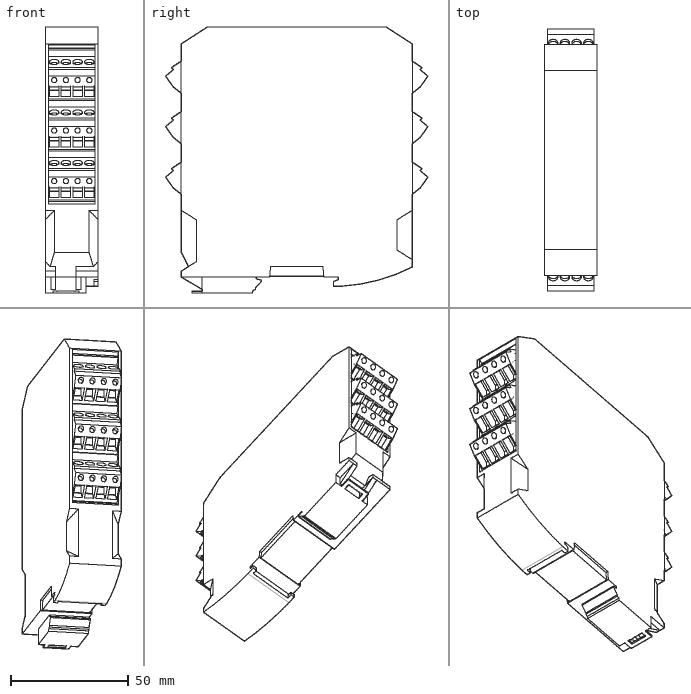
import cadquery as cq
WIDTH = 22.6
HALF_WIDTH = WIDTH / 2
HEIGHT = 113.7
HALF_LENGTH = 49.35
ROOF_HALF_LENGTH = 38.2
SHOULDER_Z = 106.5
BASE_Z = 6.8

BELLY_TOP_Z = 11.1
BELLY_BOTTOM_Z = 2.9
BELLY_INNER_Y = 19.15
BELLY_MID_Y, BELLY_MID_Z = 38.5, 6.6
HOOK_TIP_Y = 15.6
HOOK_TIP_TOP_Z = 5.0
HOOK_ROOT_Y = 17.7
HOOK_ROOT_Z = 5.8
HOOK_THICKNESS = 1.8

RECESS_HALF_BOTTOM = 11.6
RECESS_HALF_TOP = 11.15
RECESS_TOP_Z = 11.35
RECESS_DEPTH = 1.0
WEB_BOTTOM_Z = 7.2

FOOT_X_MAX = 6.1
FOOT_OUTER_Y = -40.4
FOOT_PROFILE = [
    (-17.2, BASE_Z),
    (-17.2, 6.1),
    (-15.05, 5.6),
    (-15.05, 5.0),
    (-17.6, 2.3),
    (-17.6, 1.5),
    (-18.7, 1.1),
    (-18.9, 0),
    (FOOT_OUTER_Y, 0),
    (FOOT_OUTER_Y, BASE_Z),
]
LATCH_X_MIN, LATCH_X_MAX = -8.1, 3.2
LATCH_END_Y = -44.8
LATCH_THICKNESS = 0.9
LATCH_RIM = 1.9
RIB_X_RANGES = [(-8.9, -6.95), (1.75, 4.0)]
RIB_BOTTOM_Z = 1.55

RELIEF_FLOOR_HALF_WIDTH = 7.4
RELIEF_DEPTH = 6.5
RELIEF_TOP_Z = 35.4
RELIEF_SLOPE = 0.63
RELIEF_BOTTOM_Z = 14.3
TAB_TOP_Z = 9.4
UNDERCUT_TOP_Z = 17.4
UNDERCUT_SLOPE = 2.0
SLOT_X_MIN, SLOT_X_MAX = -6.95, 1.9

WINDOW_WIDTH = 20.0
WINDOW_FLOOR_Y = 45.4
WINDOW_BOTTOM_Z = 38.1
WINDOW_SILL_Z = 39.2
WINDOW_SILL_Y = 47.3
WINDOW_LINTEL_Z = 104.7
WINDOW_LINTEL_Y = 47.8
WINDOW_TOP_Z = 106.0
PLUG_COUNT = 3
PLUG_PITCH = 21.57
PLUG_TIP_Y = 112.04 / 2
PLUG_TIP_Z = 92.7
PLUG_BACK_Y = 46.4
PLUG_TOP_Z = 101.1
BROW_Y, BROW_Z = 53.6, 96.3
NOTCH_Y, NOTCH_Z = 52.75, 95.45
CHIN_Y, CHIN_Z = 52.9, 88.2
PLUG_BOTTOM_Z = 82.95
BAR_TIP_Y, BAR_TIP_Z = 48.3, 103.8
BAR_TOP_Z = 104.55

POLE_COUNT = 4
POLE_PITCH = 5.0
SCREW_HOLE_DIAMETER = 4.0
SCREW_HOLE_DEPTH = 1.6
SCREW_HOLE_Z = 98.75
TEST_HOLE_DIAMETER = 2.23
TEST_HOLE_Z = 91.0
TEST_HOLE_FLOOR_Y = 52.5
WIRE_HOLE_WIDTH = 4.0
WIRE_HOLE_LENGTH = 6.4
WIRE_HOLE_DEPTH = 3.5
WIRE_CHAMBER_DEPTH = 6.0
WIRE_CHAMBER_STEP = 0.4
WIRE_HOLE_Z = 86.1


def prism(points, x_min, x_max):
    """Extrude a closed (y, z) outline from x_min to x_max."""
    return cq.Workplane("YZ", origin=(x_min, 0, 0)).polyline(points).close().extrude(x_max - x_min)


def full_prism(points):
    return prism(points, -HALF_WIDTH, HALF_WIDTH)


def box(x_range, y_range, z_range):
    size = [high - low for low, high in (x_range, y_range, z_range)]
    corner = (x_range[0], y_range[0], z_range[0])
    return cq.Workplane("XY").box(*size, centered=False).translate(corner)


def make_housing():
    outline = (
        cq.Workplane("YZ", origin=(-HALF_WIDTH, 0, 0))
        .moveTo(-ROOF_HALF_LENGTH, HEIGHT)
        .lineTo(ROOF_HALF_LENGTH, HEIGHT)
        .lineTo(HALF_LENGTH, SHOULDER_Z)
        .lineTo(HALF_LENGTH, BELLY_TOP_Z)
        .threePointArc((BELLY_MID_Y, BELLY_MID_Z), (BELLY_INNER_Y, BELLY_BOTTOM_Z))
        .lineTo(HOOK_ROOT_Y, BELLY_BOTTOM_Z)
        .lineTo(HOOK_ROOT_Y, BASE_Z)
        .lineTo(-HALF_LENGTH, BASE_Z)
        .lineTo(-HALF_LENGTH, SHOULDER_Z)
        .close()
    )
    return outline.extrude(WIDTH)


def add_rail_hooks(body):
    """Thin hook lips on the two side faces of the fixed end."""
    lip = [
        (HOOK_ROOT_Y, BELLY_BOTTOM_Z),
        (HOOK_TIP_Y, BELLY_BOTTOM_Z),
        (HOOK_TIP_Y, HOOK_TIP_TOP_Z),
        (HOOK_ROOT_Y, HOOK_ROOT_Z),
    ]
    body = body.union(prism(lip, -HALF_WIDTH, -HALF_WIDTH + HOOK_THICKNESS))
    return body.union(prism(lip, HALF_WIDTH - HOOK_THICKNESS, HALF_WIDTH))


def cut_rail_recess(body):
    side = [
        (-RECESS_HALF_BOTTOM, BASE_Z),
        (-RECESS_HALF_TOP, RECESS_TOP_Z),
        (RECESS_HALF_TOP, RECESS_TOP_Z),
        (RECESS_HALF_BOTTOM, BASE_Z),
    ]
    body = body.cut(prism(side, -HALF_WIDTH, -HALF_WIDTH + RECESS_DEPTH))
    body = body.cut(prism(side, HALF_WIDTH - RECESS_DEPTH, HALF_WIDTH))
    web_y = (-RECESS_HALF_BOTTOM, RECESS_HALF_BOTTOM)
    return body.cut(box((-HALF_WIDTH, HALF_WIDTH), web_y, (BASE_Z, WEB_BOTTOM_Z)))


def corner_relief(bottom_z):
    """Angled cuts at both vertical corners of the +Y end, with sloped top and bottom."""
    inner_y = HALF_LENGTH - RELIEF_DEPTH
    rise = RELIEF_DEPTH * RELIEF_SLOPE
    side = [
        (HALF_LENGTH, RELIEF_TOP_Z),
        (inner_y, RELIEF_TOP_Z - rise),
        (inner_y, bottom_z + rise),
        (HALF_LENGTH, bottom_z),
    ]
    wedge = [(RELIEF_FLOOR_HALF_WIDTH, HALF_LENGTH), (HALF_WIDTH, HALF_LENGTH), (HALF_WIDTH, inner_y)]
    corner = cq.Workplane("XY").polyline(wedge).close().extrude(HEIGHT)
    corners = corner.union(corner.mirror("YZ"))
    return corners.intersect(full_prism(side))


def undercut_y(z):
    """Position of the sloped undercut face of the -Y end at height z."""
    return -HALF_LENGTH + (UNDERCUT_TOP_Z - z) / UNDERCUT_SLOPE


def cut_undercut_and_slot(body):
    """Sloped undercut that leaves two tabs, and the slot between the tabs."""
    meet_offset = (UNDERCUT_TOP_Z - TAB_TOP_Z) / (UNDERCUT_SLOPE + RELIEF_SLOPE)
    above_tabs = [
        (-HALF_LENGTH, UNDERCUT_TOP_Z),
        (-HALF_LENGTH + meet_offset, TAB_TOP_Z + meet_offset * RELIEF_SLOPE),
        (-HALF_LENGTH, TAB_TOP_Z),
    ]
    slot = [
        (-HALF_LENGTH, UNDERCUT_TOP_Z),
        (undercut_y(BASE_Z), BASE_Z),
        (-HALF_LENGTH, BASE_Z),
    ]
    return body.cut(full_prism(above_tabs)).cut(prism(slot, SLOT_X_MIN, SLOT_X_MAX))


def add_foot(body):
    body = body.union(prism(FOOT_PROFILE, -HALF_WIDTH, FOOT_X_MAX))
    rib = [(FOOT_OUTER_Y, BASE_Z), (-HALF_LENGTH, BASE_Z), (FOOT_OUTER_Y, RIB_BOTTOM_Z)]
    for x_min, x_max in RIB_X_RANGES:
        body = body.union(prism(rib, x_min, x_max))
    thickness = (0, LATCH_THICKNESS)
    latch = box((LATCH_X_MIN, LATCH_X_MAX), (LATCH_END_Y, FOOT_OUTER_Y), thickness)
    opening_x = (LATCH_X_MIN + LATCH_RIM, LATCH_X_MAX - LATCH_RIM)
    opening = box(opening_x, (LATCH_END_Y + LATCH_RIM, FOOT_OUTER_Y), thickness)
    return body.union(latch.cut(opening))


def make_window():
    outline = [
        (HALF_LENGTH, WINDOW_BOTTOM_Z),
        (WINDOW_SILL_Y, WINDOW_SILL_Z),
        (WINDOW_FLOOR_Y, WINDOW_SILL_Z),
        (WINDOW_FLOOR_Y, WINDOW_LINTEL_Z),
        (WINDOW_LINTEL_Y, WINDOW_LINTEL_Z),
        (HALF_LENGTH, WINDOW_TOP_Z),
    ]
    return prism(outline, -WINDOW_WIDTH / 2, WINDOW_WIDTH / 2)


def tilted_plane(y, z, normal_y, normal_z):
    return cq.Plane(origin=(0, y, z), xDir=(1, 0, 0), normal=(0, normal_y, normal_z))


def make_plug():
    """Topmost plug of the +Y end, with the socket bar above it."""
    outline = [
        (WINDOW_FLOOR_Y, PLUG_BOTTOM_Z),
        (PLUG_BACK_Y, PLUG_BOTTOM_Z),
        (CHIN_Y, CHIN_Z),
        (PLUG_TIP_Y, PLUG_TIP_Z),
        (NOTCH_Y, NOTCH_Z),
        (BROW_Y, BROW_Z),
        (PLUG_BACK_Y, PLUG_TOP_Z),
        (BAR_TIP_Y, BAR_TIP_Z),
        (PLUG_BACK_Y, BAR_TOP_Z),
        (WINDOW_FLOOR_Y, BAR_TOP_Z),
    ]
    plug = prism(outline, -WINDOW_WIDTH / 2, WINDOW_WIDTH / 2)

    poles = [((i - (POLE_COUNT - 1) / 2) * POLE_PITCH, 0) for i in range(POLE_COUNT)]

    top_run = BROW_Y - PLUG_BACK_Y
    top_drop = PLUG_TOP_Z - BROW_Z
    screw_y = BROW_Y - (SCREW_HOLE_Z - BROW_Z) * top_run / top_drop
    screw_plane = tilted_plane(screw_y, SCREW_HOLE_Z, top_drop, top_run)
    screws = cq.Workplane(screw_plane).pushPoints(poles).circle(SCREW_HOLE_DIAMETER / 2)

    low_run = CHIN_Y - PLUG_BACK_Y
    low_rise = CHIN_Z - PLUG_BOTTOM_Z
    wire_y = CHIN_Y - (CHIN_Z - WIRE_HOLE_Z) * low_run / low_rise
    wire_plane = tilted_plane(wire_y, WIRE_HOLE_Z, low_rise, -low_run)
    wires = cq.Workplane(wire_plane).pushPoints(poles).rect(WIRE_HOLE_WIDTH, WIRE_HOLE_LENGTH)
    chamber_plane = cq.Workplane(wire_plane).workplane(offset=-WIRE_HOLE_DEPTH)
    chamber_length = WIRE_HOLE_LENGTH + 2 * WIRE_CHAMBER_STEP
    chambers = chamber_plane.pushPoints(poles).rect(WIRE_HOLE_WIDTH, chamber_length)

    test_plane = tilted_plane(TEST_HOLE_FLOOR_Y, TEST_HOLE_Z, 1, 0)
    tests = cq.Workplane(test_plane).pushPoints(poles).circle(TEST_HOLE_DIAMETER / 2)

    plug = plug.cut(screws.extrude(-SCREW_HOLE_DEPTH))
    plug = plug.cut(wires.extrude(-WIRE_HOLE_DEPTH))
    plug = plug.cut(chambers.extrude(WIRE_HOLE_DEPTH - WIRE_CHAMBER_DEPTH))
    return plug.cut(tests.extrude(PLUG_TIP_Y - TEST_HOLE_FLOOR_Y))


def fit_terminals(body):
    window = make_window()
    body = body.cut(window).cut(window.mirror("XZ"))
    plug = make_plug()
    for i in range(PLUG_COUNT):
        placed = plug.translate((0, 0, -i * PLUG_PITCH))
        body = body.union(placed).union(placed.mirror("XZ"))
    return body


housing = make_housing()
housing = add_rail_hooks(housing)
housing = cut_rail_recess(housing)
housing = housing.cut(corner_relief(RELIEF_BOTTOM_Z))
housing = housing.cut(corner_relief(TAB_TOP_Z).mirror("XZ"))
housing = cut_undercut_and_slot(housing)
housing = add_foot(housing)
result = fit_terminals(housing)